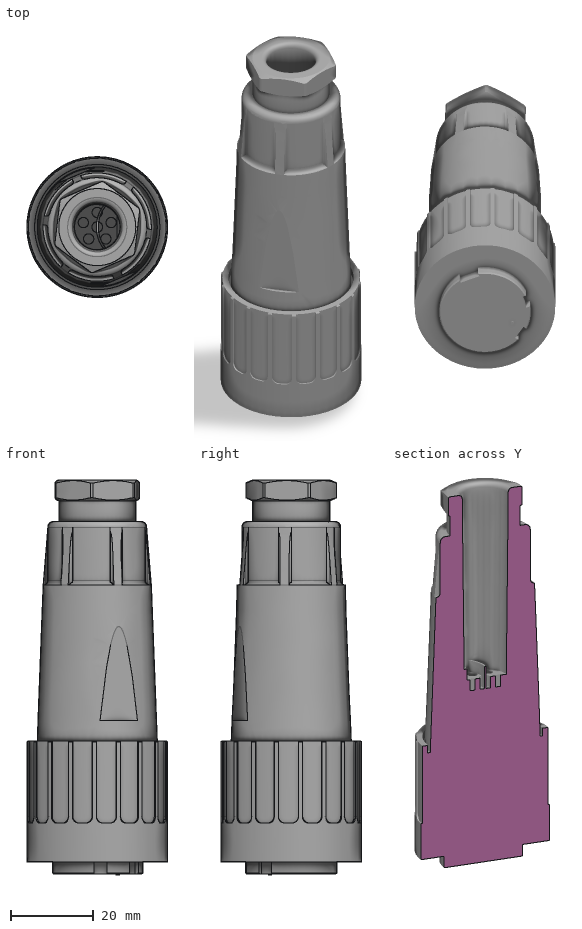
import cadquery as cq
import math

bend = math.sqrt(0.5)

overshoot = 1.0

plug_bottom = 0.3
ring_bottom = 3.2
flute_bottom = 12.6
ring_top = 32.4
collar_bottom = 70.0
collar_shoulder = 83.95
collar_top = 85.4
nut_bottom = 90.3
nut_top = 95.4

plug_diameter = 22.0
plug_edge = 0.3
keyway_depth = 1.1
keyways = [(180.0, 4.9), (-85.7, 3.15), (-35.4, 3.6)]
pip_diameter = 0.8
pip_center = (5.0, -5.15)

ring_diameter = 34.0
ring_inner_diameter = 30.2
ring_gap_depth = 1.9
ring_edge = 0.3
flute_count = 18
flute_depth = 0.4
flute_width = 4.9
flute_corner = 1.6
first_flute_angle = -82.4

body_lower_radius = 14.5
body_upper_radius = 13.1
facet_distance = 13.45
facet_bottom = 37.3
facet_angles = [-67.3, 112.7]

collar_radius = 11.9
collar_rounding = collar_top - collar_shoulder
ledge_radius = body_upper_radius - collar_radius
rib_count = 6
rib_width = 2.2
rib_root_radius = 0.5
first_rib_angle = -67.3

neck_diameter = 18.6
nut_across_flats = 19.4
nut_corner_diameter = 22.0
nut_face_diameter = 18.6
nut_chamfer_height = 0.8
nut_corner_angle = -96.8

bore_diameter = 12.0
bore_floor_diameter = 11.0
bore_floor = 47.7
bore_rounding = 1.1
flat_distance = 4.8
key_height = 2.9
contact_count = 5
contact_diameter = 2.5
contact_circle_radius = 3.5
contact_depth = 2.9
first_contact_angle = 90.0
center_hole_diameter = 2.6
divider_radius = 8.3
divider_width = 0.5


def cylinder(diameter, bottom, top):
    return cq.Workplane("XY").workplane(offset=bottom).circle(diameter / 2).extrude(top - bottom)


def cone(lower_radius, upper_radius, bottom, top):
    profile = [(0, bottom), (lower_radius, bottom), (upper_radius, top), (0, top)]
    return cq.Workplane("XZ").polyline(profile).close().revolve(360, (0, 0), (0, 1))


def turned(solid, angle):
    return solid.rotate((0, 0, 0), (0, 0, 1), angle)


def evenly_spaced(count, first_angle):
    return [first_angle + i * 360 / count for i in range(count)]


def block(x_start, x_end, width, bottom, top):
    """Box that reaches from x_start to x_end, centred on the X axis."""
    base = cq.Workplane("XY").workplane(offset=bottom)
    return base.center((x_start + x_end) / 2, 0).rect(x_end - x_start, width).extrude(top - bottom)


def make_plug():
    radius = plug_diameter / 2
    plug = cylinder(plug_diameter, plug_bottom, ring_bottom).faces("<Z").chamfer(plug_edge)
    for angle, width in keyways:
        slot = block(radius - keyway_depth, radius + overshoot, width, plug_bottom, ring_bottom)
        plug = plug.cut(turned(slot, angle))
    pip = cylinder(pip_diameter, 0, plug_bottom + plug_edge).translate(pip_center + (0,))
    return plug.union(pip)


def make_ring():
    radius = ring_diameter / 2
    ring = cylinder(ring_diameter, ring_bottom, ring_top).faces(">Z").chamfer(ring_edge)
    flute_top = ring_top + flute_corner
    flute = block(0, radius + overshoot, flute_width, flute_bottom, flute_top)
    flute = flute.edges("|X and <Z").fillet(flute_corner)
    flutes = cq.Workplane("XY")
    for angle in evenly_spaced(flute_count, first_flute_angle):
        flutes = flutes.add(turned(flute, angle))
    flutes = flutes.combine()
    flutes = flutes.cut(cylinder(ring_diameter - 2 * flute_depth, ring_bottom, flute_top))
    gap = cylinder(ring_inner_diameter, ring_top - ring_gap_depth, ring_top)
    return ring.cut(flutes).cut(gap)


def make_body():
    body = cone(body_lower_radius, body_upper_radius, ring_top, collar_bottom)
    for angle in facet_angles:
        facet = block(facet_distance, ring_diameter / 2, ring_diameter, facet_bottom, collar_bottom)
        body = body.cut(turned(facet, angle))
    return body.union(cylinder(2 * body_lower_radius, ring_top - ring_gap_depth, ring_top))


def make_rib():
    """Upright bar along X whose sides flare out to the collar with concave root arcs."""
    outer_end = ring_diameter / 2
    half_width = rib_width / 2
    root_half_width = half_width + rib_root_radius
    arc_end = collar_radius + rib_root_radius
    arc_mid_x = arc_end - rib_root_radius * bend
    arc_mid_y = root_half_width - rib_root_radius * bend
    return (
        cq.Workplane("XY")
        .workplane(offset=collar_bottom)
        .moveTo(0, -root_half_width)
        .lineTo(collar_radius, -root_half_width)
        .threePointArc((arc_mid_x, -arc_mid_y), (arc_end, -half_width))
        .lineTo(outer_end, -half_width)
        .lineTo(outer_end, half_width)
        .lineTo(arc_end, half_width)
        .threePointArc((arc_mid_x, arc_mid_y), (collar_radius, root_half_width))
        .lineTo(0, root_half_width)
        .close()
        .extrude(collar_shoulder - collar_bottom)
    )


def make_collar():
    ledge_mid = (body_upper_radius - ledge_radius * bend, collar_bottom + ledge_radius * (1 - bend))
    crown_mid = (
        collar_radius - collar_rounding * (1 - bend),
        collar_shoulder + collar_rounding * bend,
    )
    collar = (
        cq.Workplane("XZ")
        .moveTo(0, collar_bottom)
        .lineTo(body_upper_radius, collar_bottom)
        .threePointArc(ledge_mid, (collar_radius, collar_bottom + ledge_radius))
        .lineTo(collar_radius, collar_shoulder)
        .threePointArc(crown_mid, (collar_radius - collar_rounding, collar_top))
        .lineTo(0, collar_top)
        .close()
        .revolve(360, (0, 0), (0, 1))
    )
    rib_envelope = cone(body_upper_radius, collar_radius, collar_bottom, collar_shoulder)
    rib = make_rib().intersect(rib_envelope)
    for angle in evenly_spaced(rib_count, first_rib_angle):
        collar = collar.union(turned(rib, angle))
    return collar


def make_nut():
    hexagon = cq.Workplane("XY").workplane(offset=nut_bottom)
    hexagon = hexagon.polygon(6, nut_across_flats / math.cos(math.pi / 6)).extrude(nut_top - nut_bottom)
    blank = cylinder(nut_corner_diameter, nut_bottom, nut_top)
    chamfer_width = (nut_corner_diameter - nut_face_diameter) / 2
    blank = blank.faces("<Z or >Z").chamfer(nut_chamfer_height, chamfer_width)
    nut = turned(hexagon, nut_corner_angle).intersect(blank)
    return nut.union(cylinder(neck_diameter, collar_top, nut_bottom))


def make_bore():
    bore = cone(bore_floor_diameter / 2, bore_diameter / 2, bore_floor, nut_top)
    socket_bottom = bore_floor - contact_depth
    for angle in evenly_spaced(contact_count, first_contact_angle):
        socket = cylinder(contact_diameter, socket_bottom, bore_floor)
        bore = bore.union(turned(socket.translate((contact_circle_radius, 0, 0)), angle))
    bore = bore.union(cylinder(center_hole_diameter, socket_bottom, bore_floor))

    key_top = bore_floor + key_height
    flat = block(flat_distance, bore_diameter, bore_diameter, bore_floor, key_top)
    divider = cylinder(2 * divider_radius + divider_width, socket_bottom, key_top)
    divider = divider.cut(cylinder(2 * divider_radius - divider_width, socket_bottom, key_top))
    divider = divider.translate((divider_radius, 0, 0))
    return bore.cut(flat).cut(divider)


result = make_plug().union(make_ring()).union(make_body()).union(make_collar()).union(make_nut())
result = result.cut(make_bore())

result = result.faces(">Z").edges(cq.selectors.RadiusNthSelector(0)).fillet(bore_rounding)